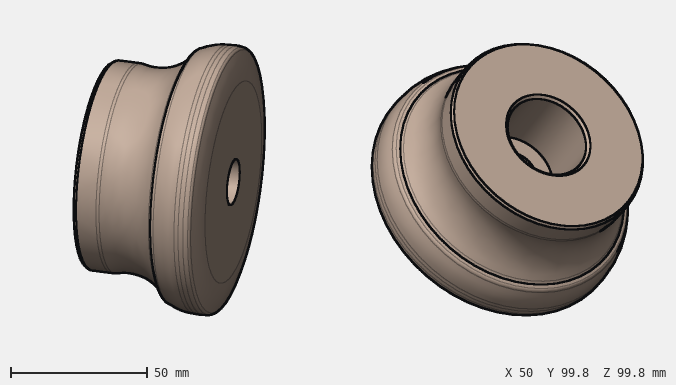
import cadquery as cq
import math

length = 50.0
rim_radius = 49.9
hub_radius = 38.9
edge_chamfer = 1.2
hub_chamfer_drop = 0.8

hub_end = 8.8
groove_start = 10.0
groove_end = 30.4
groove_bottom_x = 15.5
groove_bottom_radius = 38.1
groove_arc_radius = 21.0

step_start = 31.3
step_start_radius = 45.3
step_end = 31.8
step_end_radius = 46.7
rim_start = 33.1
rim_start_radius = 47.7

crown_end = 41.7
crown_end_radius = 49.8
crown_arc_radius = 18.5
rim_flat_start = 43.3
rim_flat_end = 45.1
shoulder_x = 46.9
shoulder_radius = 49.6
dome_start = 47.8
dome_start_radius = 48.7
end_face_radius = 37.4

counterbore_radius = 15.9
counterbore_depth = 29.9
bore_radius = 8.5
bore_chamfer = 1.1


def groove_point(x):
    """Point on the groove arc at axial position x."""
    offset = x - groove_bottom_x
    rise = groove_arc_radius - math.sqrt(groove_arc_radius**2 - offset**2)
    return (x, groove_bottom_radius + rise)


def make_body():
    """Solid wheel turned about the X axis."""
    profile = (
        cq.Workplane("XY")
        .lineTo(0, hub_radius - hub_chamfer_drop)
        .lineTo(edge_chamfer, hub_radius)
        .lineTo(hub_end, hub_radius)
        .tangentArcPoint(groove_point(groove_start), relative=False)
        .threePointArc(groove_point(groove_bottom_x), groove_point(groove_end))
        .tangentArcPoint((step_start, step_start_radius), relative=False)
        .lineTo(step_end, step_end_radius)
        .tangentArcPoint((rim_start, rim_start_radius), relative=False)
    )
    dome_run = dome_start_radius - end_face_radius
    dome_rise = length - dome_start
    dome_arc_radius = (dome_run**2 + dome_rise**2) / (2 * dome_rise)
    profile = (
        profile.radiusArc((crown_end, crown_end_radius), crown_arc_radius)
        .tangentArcPoint((rim_flat_start, rim_radius), relative=False)
        .lineTo(rim_flat_end, rim_radius)
        .tangentArcPoint((shoulder_x, shoulder_radius), relative=False)
        .tangentArcPoint((dome_start, dome_start_radius), relative=False)
        .radiusArc((length, end_face_radius), dome_arc_radius)
        .lineTo(length, 0)
        .close()
    )
    return profile.revolve(360, (0, 0, 0), (1, 0, 0))


def make_bore():
    """Counterbore and through hole, each with a chamfered entrance."""
    return (
        cq.Workplane("XY")
        .lineTo(0, counterbore_radius + edge_chamfer)
        .lineTo(edge_chamfer, counterbore_radius)
        .lineTo(counterbore_depth, counterbore_radius)
        .lineTo(counterbore_depth, bore_radius + bore_chamfer)
        .lineTo(counterbore_depth + bore_chamfer, bore_radius)
        .lineTo(length, bore_radius)
        .lineTo(length, 0)
        .close()
        .revolve(360, (0, 0, 0), (1, 0, 0))
    )


result = make_body().cut(make_bore())